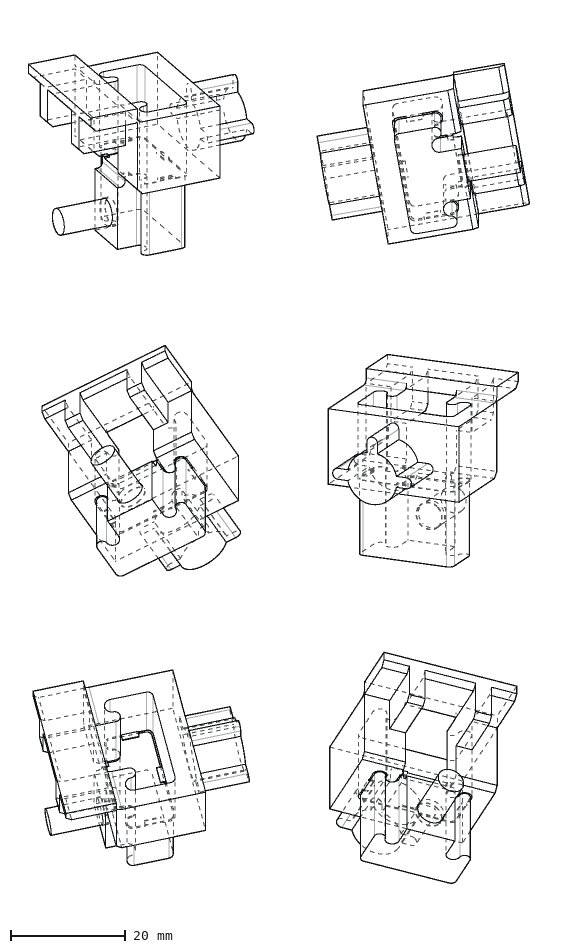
import cadquery as cq


HOUSING_WIDTH = 25.0
HOUSING_DEPTH = 16.0
HOUSING_HEIGHT = 13.8
EDGE_SIZE = 1.0

FLANGE_REACH = 9.0
FLANGE_RISE = 2.7
LEG_WIDTH = 3.0
LEG_DROP = 6.3

POCKET_HALF_WIDTH = 9.25
POCKET_BACK = 11.5
NECK_HALF_WIDTH = 4.75
LIP_RADIUS = 1.0
LOBE_CENTER_Y = 4.0
CORNER_RADIUS = 1.0

CLEARANCE = 0.25
SLIDER_HEIGHT = HOUSING_HEIGHT
SLIDER_GROOVE_CENTER_Y = 3.72
NOTCH_DEPTH = 1.5
NOTCH_HEIGHT = 2.0
NOTCH_FILLET = 1.0

TAB_LENGTH = 3.0
TAB_REACH = 1.0
TAB_HEIGHT = 0.25
SIDE_TAB_CENTER_Y = 7.5

AXIS_HEIGHT = 5.3
PIN_DIAMETER = 4.8
PIN_PROJECTION = 9.25
BORE_DIAMETER = 5.0
BORE_DEPTH = 1.0

PLUG_LENGTH = 9.0
PLUG_RADIUS = 4.75
KEY_REACH = 7.55
KEY_WIDTH = 2.0


def box(x_range, y_range, z_range):
    """Axis-aligned box between the given limits."""
    x0, x1 = x_range
    y0, y1 = y_range
    z0, z1 = z_range
    return cq.Workplane("XY").box(x1 - x0, y1 - y0, z1 - z0, centered=False).translate((x0, y0, z0))


def guide_profile(half_width, back, lobe_half_inner, neck_half, lip_center_y, z_bottom, height):
    """Prism with a neck at the front and a rounded lobe on each side of it."""
    lobe_radius = (half_width - lobe_half_inner) / 2
    lobe_middle = half_width - lobe_radius
    lip_middle = (lobe_half_inner + neck_half) / 2
    lip_top = lip_center_y + (lobe_half_inner - neck_half) / 2
    lobe_bottom = LOBE_CENTER_Y - lobe_radius
    return (
        cq.Workplane("XY", origin=(0, 0, z_bottom))
        .moveTo(neck_half, 0)
        .lineTo(neck_half, lip_center_y)
        .threePointArc((lip_middle, lip_top), (lobe_half_inner, lip_center_y))
        .threePointArc((lobe_middle, lobe_bottom), (half_width, LOBE_CENTER_Y))
        .lineTo(half_width, back)
        .lineTo(-half_width, back)
        .lineTo(-half_width, LOBE_CENTER_Y)
        .threePointArc((-lobe_middle, lobe_bottom), (-lobe_half_inner, lip_center_y))
        .threePointArc((-lip_middle, lip_top), (-neck_half, lip_center_y))
        .lineTo(-neck_half, 0)
        .close()
        .extrude(height)
        .edges("|Z and >Y")
        .fillet(CORNER_RADIUS)
    )


def flange_slab(x_range, z_bottom):
    """Slab in front of the housing with its lower front edge chamfered."""
    slab = box(x_range, (-FLANGE_REACH, 0), (z_bottom, HOUSING_HEIGHT + FLANGE_RISE))
    return slab.edges("<Y and <Z").chamfer(EDGE_SIZE)


def make_housing():
    half = HOUSING_WIDTH / 2
    body = box((-half, half), (0, HOUSING_DEPTH), (0, HOUSING_HEIGHT))
    body = body.edges("<Y and <Z").chamfer(EDGE_SIZE)
    fillet_top = HOUSING_HEIGHT + EDGE_SIZE
    fillet_round = (
        cq.Workplane("YZ", origin=(-half, EDGE_SIZE, fillet_top))
        .circle(EDGE_SIZE)
        .extrude(HOUSING_WIDTH)
    )
    corner_fillet = box((-half, half), (0, EDGE_SIZE), (HOUSING_HEIGHT, fillet_top)).cut(fillet_round)
    pocket = guide_profile(
        POCKET_HALF_WIDTH,
        POCKET_BACK,
        NECK_HALF_WIDTH + 2 * LIP_RADIUS,
        NECK_HALF_WIDTH,
        LOBE_CENTER_Y,
        0,
        HOUSING_HEIGHT + FLANGE_RISE,
    )
    housing = body.union(corner_fillet).cut(pocket)
    housing = housing.union(flange_slab((-half, half), HOUSING_HEIGHT))
    leg_outer = NECK_HALF_WIDTH + LEG_WIDTH
    for leg_range in ((-leg_outer, -NECK_HALF_WIDTH), (NECK_HALF_WIDTH, leg_outer)):
        housing = housing.union(flange_slab(leg_range, HOUSING_HEIGHT - LEG_DROP))
    return housing


def make_slider():
    neck_half = NECK_HALF_WIDTH - CLEARANCE
    slider = guide_profile(
        POCKET_HALF_WIDTH - CLEARANCE,
        POCKET_BACK - CLEARANCE,
        NECK_HALF_WIDTH + 2 * LIP_RADIUS + CLEARANCE,
        neck_half,
        SLIDER_GROOVE_CENTER_Y,
        -SLIDER_HEIGHT,
        SLIDER_HEIGHT,
    )
    notch = box((-neck_half, neck_half), (0, NOTCH_DEPTH), (-NOTCH_HEIGHT, 0))
    notch = notch.edges(">Y and <Z").fillet(NOTCH_FILLET)
    return slider.cut(notch)


def add_pin(slider):
    front = cq.Workplane("XZ", origin=(0, BORE_DEPTH, AXIS_HEIGHT - SLIDER_HEIGHT))
    bore = front.circle(BORE_DIAMETER / 2).extrude(BORE_DEPTH)
    pin = front.circle(PIN_DIAMETER / 2).extrude(BORE_DEPTH + PIN_PROJECTION)
    return slider.cut(bore).union(pin)


def make_tabs():
    half_length = TAB_LENGTH / 2
    z_range = (0, TAB_HEIGHT)
    side_y = (SIDE_TAB_CENTER_Y - half_length, SIDE_TAB_CENTER_Y + half_length)
    neck_y = (NOTCH_DEPTH, NOTCH_DEPTH + TAB_REACH)
    tabs = [box((-half_length, half_length), (POCKET_BACK - TAB_REACH, POCKET_BACK), z_range)]
    for wall, y_range in ((POCKET_HALF_WIDTH, side_y), (NECK_HALF_WIDTH, neck_y)):
        tabs.append(box((wall - TAB_REACH, wall), y_range, z_range))
        tabs.append(box((-wall, TAB_REACH - wall), y_range, z_range))
    return tabs


def make_plug():
    """Round plug with round-tipped keys pointing up, left and right."""
    back = cq.Workplane("XZ", origin=(0, HOUSING_DEPTH, AXIS_HEIGHT))
    plug = back.circle(PLUG_RADIUS).extrude(-PLUG_LENGTH)
    tip_center = KEY_REACH - KEY_WIDTH / 2
    for angle in (0, 90, 180):
        key = (
            back.transformed(rotate=(0, 0, angle))
            .moveTo(0, -KEY_WIDTH / 2)
            .lineTo(tip_center, -KEY_WIDTH / 2)
            .threePointArc((KEY_REACH, 0), (tip_center, KEY_WIDTH / 2))
            .lineTo(0, KEY_WIDTH / 2)
            .close()
            .extrude(-PLUG_LENGTH)
        )
        plug = plug.union(key)
    return plug


result = make_housing().union(make_plug()).union(add_pin(make_slider()))
for tab in make_tabs():
    result = result.union(tab)